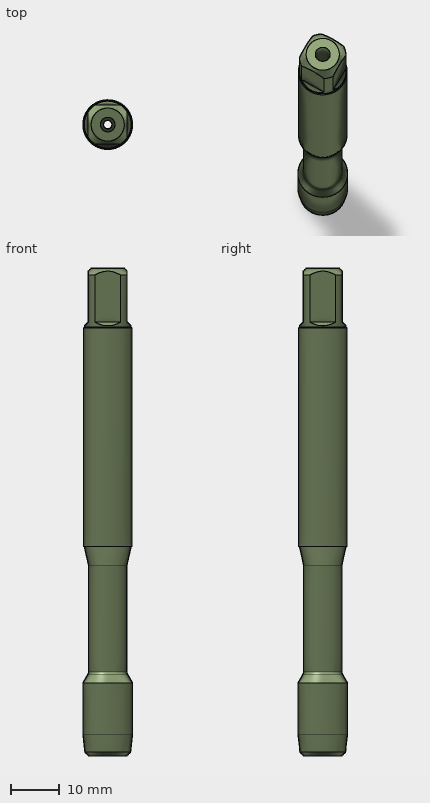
import cadquery as cq
import math

TOTAL_LENGTH = 100.0
SPLIT_Z = 15.0

HEAD_DIAMETER = 10.2
LEAD_DIAMETER = 9.4
TIP_CHAMFER_HEIGHT = 0.8
TIP_DIAMETER = LEAD_DIAMETER - 2 * TIP_CHAMFER_HEIGHT
LEAD_TOP_Z = 4.4
COOLANT_DIAMETER = 1.7

SHANK_DIAMETER = 10.0
NECK_DIAMETER = 7.9
COLLAR_ANGLE = 30.0
COLLAR_FILLET_RADIUS = 1.2
FLARE_START_Z = 39.1
FLARE_END_Z = 42.9
FLARE_TOP_DIAMETER = 9.6
SHANK_BORE_DIAMETER = 3.0

DRIVE_DIAMETER = 9.6
DRIVE_ACROSS_FLATS = 8.0
DRIVE_BOTTOM_Z = 87.9
FLAT_BOTTOM_Z = 89.0
DRIVE_CHAMFER_HEIGHT = 1.4
DRIVE_TOP_DIAMETER = DRIVE_DIAMETER - 2 * DRIVE_CHAMFER_HEIGHT


def bore(diameter, bottom_z, top_z):
    """Round cutter on the tool axis."""
    return cq.Workplane("XY").workplane(offset=bottom_z).circle(diameter / 2).extrude(top_z - bottom_z)


def make_cutting_head():
    """Lower body: tip chamfer, tapered lead and cylinder."""
    head_radius = HEAD_DIAMETER / 2
    profile = (
        cq.Workplane("XZ")
        .lineTo(TIP_DIAMETER / 2, 0)
        .lineTo(LEAD_DIAMETER / 2, TIP_CHAMFER_HEIGHT)
        .lineTo(head_radius, LEAD_TOP_Z)
        .lineTo(head_radius, SPLIT_Z)
        .lineTo(0, SPLIT_Z)
        .close()
    )
    blank = profile.revolve(360, (0, 0, 0), (0, 1, 0))
    return blank.cut(bore(COOLANT_DIAMETER, 0, SPLIT_Z))


def make_shank_blank():
    """Round shank with its collar cone, neck, flare and chamfered drive end."""
    neck_radius = NECK_DIAMETER / 2
    shank_radius = SHANK_DIAMETER / 2
    drive_radius = DRIVE_DIAMETER / 2
    shoulder_z = DRIVE_BOTTOM_Z - (shank_radius - drive_radius)

    slope = math.radians(COLLAR_ANGLE)
    fillet_foot_radius = neck_radius + COLLAR_FILLET_RADIUS * (1 - math.cos(slope))
    fillet_foot_z = SPLIT_Z + (HEAD_DIAMETER / 2 - fillet_foot_radius) / math.tan(slope)
    fillet_top_z = fillet_foot_z + COLLAR_FILLET_RADIUS * math.sin(slope)
    fillet_middle = (
        neck_radius + COLLAR_FILLET_RADIUS * (1 - math.cos(slope / 2)),
        fillet_top_z - COLLAR_FILLET_RADIUS * math.sin(slope / 2),
    )

    profile = (
        cq.Workplane("XZ")
        .moveTo(0, SPLIT_Z)
        .lineTo(HEAD_DIAMETER / 2, SPLIT_Z)
        .lineTo(fillet_foot_radius, fillet_foot_z)
        .threePointArc(fillet_middle, (neck_radius, fillet_top_z))
        .lineTo(neck_radius, FLARE_START_Z)
        .lineTo(FLARE_TOP_DIAMETER / 2, FLARE_END_Z)
        .lineTo(shank_radius, FLARE_END_Z)
        .lineTo(shank_radius, shoulder_z)
        .lineTo(drive_radius, DRIVE_BOTTOM_Z)
        .lineTo(drive_radius, TOTAL_LENGTH - DRIVE_CHAMFER_HEIGHT)
        .lineTo(DRIVE_TOP_DIAMETER / 2, TOTAL_LENGTH)
        .lineTo(0, TOTAL_LENGTH)
        .close()
    )
    return profile.revolve(360, (0, 0, 0), (0, 1, 0))


def drive_flat_cutter(angle):
    """Cutter for one drive flat with a 45-degree run-out, turned about Z by angle."""
    flat_x = DRIVE_ACROSS_FLATS / 2
    outer_x = SHANK_DIAMETER
    return (
        cq.Workplane("XZ")
        .moveTo(flat_x, FLAT_BOTTOM_Z)
        .lineTo(outer_x, FLAT_BOTTOM_Z - (outer_x - flat_x))
        .lineTo(outer_x, TOTAL_LENGTH)
        .lineTo(flat_x, TOTAL_LENGTH)
        .close()
        .extrude(SHANK_DIAMETER / 2, both=True)
        .rotate((0, 0, 0), (0, 0, 1), angle)
    )


def make_shank():
    """Upper body: shank blank with four drive flats and a central bore."""
    shank = make_shank_blank()
    for angle in (0, 90, 180, 270):
        shank = shank.cut(drive_flat_cutter(angle))
    return shank.cut(bore(SHANK_BORE_DIAMETER, SPLIT_Z, TOTAL_LENGTH))


cutting_head = make_cutting_head()
shank = make_shank()

result = cq.Compound.makeCompound([cutting_head.val(), shank.val()])